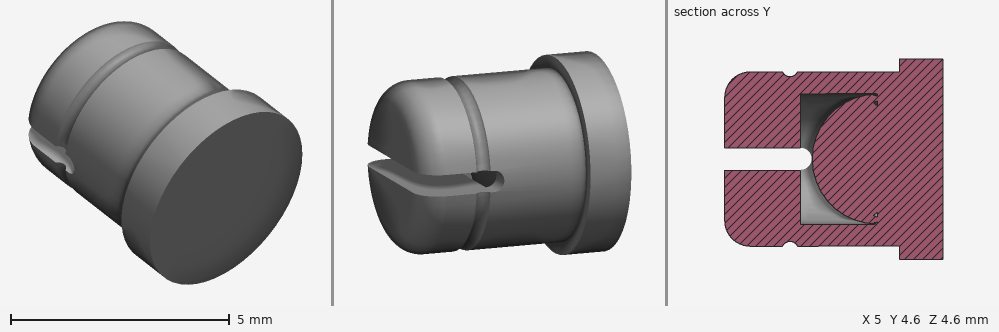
import cadquery as cq

total_length = 5.0
flange_thickness = 1.0
flange_start = total_length - flange_thickness

flange_radius = 4.6 / 2
body_radius = 4.0 / 2
nose_fillet = 0.6

groove_start = 1.33
groove_width = 0.34
groove_depth = 0.11
groove_end = groove_start + groove_width
groove_middle = groove_start + groove_width / 2

slot_width = 0.5
slot_depth = 2.0
slot_straight_length = slot_depth - slot_width / 2

cavity_radius = 2.98 / 2
cavity_start = slot_straight_length
dome_tip = slot_depth
dome_base = dome_tip + cavity_radius


def make_body():
    """Turned outside: rounded nose, groove, straight body and flange."""
    fillet_center_radius = body_radius - nose_fillet
    half_diagonal = nose_fillet * 0.5**0.5
    profile = (
        cq.Workplane("XY")
        .moveTo(0, 0)
        .lineTo(0, fillet_center_radius)
        .threePointArc(
            (nose_fillet - half_diagonal, fillet_center_radius + half_diagonal),
            (nose_fillet, body_radius),
        )
        .lineTo(groove_start, body_radius)
        .threePointArc((groove_middle, body_radius - groove_depth), (groove_end, body_radius))
        .lineTo(flange_start, body_radius)
        .lineTo(flange_start, flange_radius)
        .lineTo(total_length, flange_radius)
        .lineTo(total_length, 0)
        .close()
    )
    return profile.revolve(360, (0, 0, 0), (1, 0, 0))


def make_slot():
    """Slot running across the nose along Y."""
    straight = cq.Workplane("XY").box(
        slot_straight_length, 2 * flange_radius, slot_width, centered=(False, True, True)
    )
    round_end = (
        cq.Workplane("XZ")
        .center(slot_straight_length, 0)
        .circle(slot_width / 2)
        .extrude(flange_radius, both=True)
    )
    return straight.union(round_end)


def make_cavity():
    """Round bore behind the slot, with a hemispherical dome rising from its floor."""
    bore = (
        cq.Workplane("YZ")
        .workplane(offset=cavity_start)
        .circle(cavity_radius)
        .extrude(dome_base - cavity_start)
    )
    dome = cq.Workplane("XY").sphere(cavity_radius).translate((dome_base, 0, 0))
    return bore.cut(dome)


result = make_body().cut(make_slot()).cut(make_cavity())